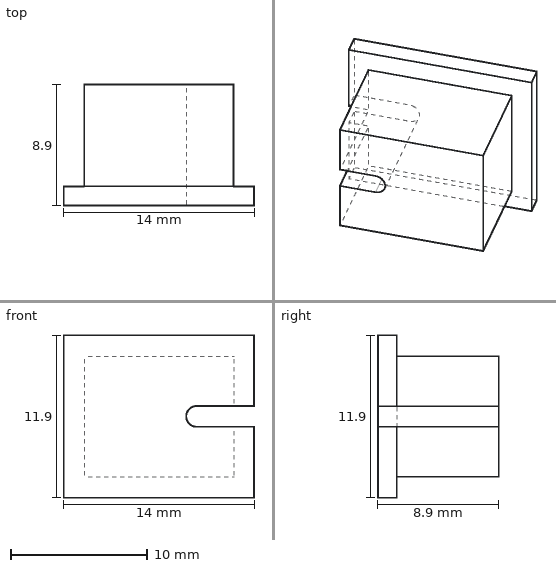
import cadquery as cq

plate_width = 14.0
plate_height = 11.95
plate_thickness = 1.4

total_depth = 8.9
block_width = 10.98
block_height = 8.88
block_depth = total_depth - plate_thickness

slot_length = 4.98
slot_width = 1.51


def centred_box(width, depth, height, front_y):
    """Box centred in X and Z, with its front face at front_y."""
    return cq.Workplane("XY").box(width, depth, height).translate((0, front_y + depth / 2, 0))


def open_slot():
    """Cutter with a half-round inner end and a straight run out to the +X edge."""
    radius = slot_width / 2
    edge_x = plate_width / 2
    arc_x = edge_x - slot_length + radius
    return (
        cq.Workplane("XZ")
        .moveTo(edge_x, radius)
        .lineTo(arc_x, radius)
        .threePointArc((arc_x - radius, 0), (arc_x, -radius))
        .lineTo(edge_x, -radius)
        .close()
        .extrude(-total_depth)
    )


plate = centred_box(plate_width, plate_thickness, plate_height, 0)
block = centred_box(block_width, block_depth, block_height, plate_thickness)
result = plate.union(block).cut(open_slot())